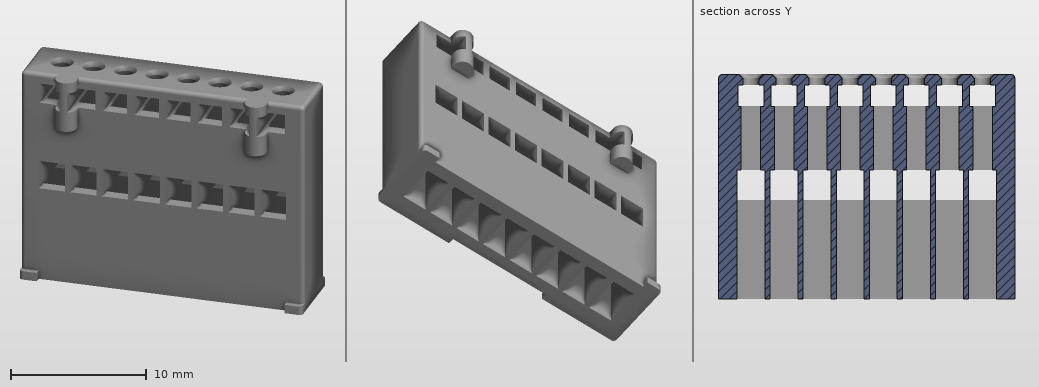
import cadquery as cq

body_length = 21.82
body_depth = 4.89
body_height = 16.56
edge_radius = 0.3

contact_count = 8
contact_span = 17.05
contact_pitch = contact_span / (contact_count - 1)
first_contact_x = -contact_span / 2

pin_hole_diameter = 1.18
lead_in_diameter = 1.75
lead_in_depth = 0.3

upper_window_width = 1.85
upper_window_height = 1.55
upper_window_bottom = 14.2
lower_window_width = 2.0
lower_window_height = 2.2
lower_window_bottom = 7.3

chamber_depth = 2.97
narrow_chamber_width = 1.4

rib_spacing = 14.62
rib_width = 1.61
rib_reach = 1.15
rib_height = 3.9

tab_height = 0.68
tab_reach = 0.48
front_tab_length = 1.35
back_tab_length = 6.63

latch_length = 4.8
latch_reach = 0.87
latch_height = 0.94
latch_bottom = 4.93

front_y = -body_depth / 2
back_y = body_depth / 2


def make_body():
    """Block with rounded upright corners and rounded top edges."""
    block = cq.Workplane("XY").box(body_length, body_depth, body_height, centered=(True, True, False))
    return block.edges("|Z or >Z").fillet(edge_radius)


def make_rib(center_x):
    """Upright rib, flush with the top and rounded at its free edge."""
    nose_radius = rib_width / 2
    nose_center_y = front_y - rib_reach + nose_radius
    root_y = front_y + edge_radius
    return (
        cq.Workplane("XY", origin=(center_x, 0, body_height - rib_height))
        .moveTo(-nose_radius, root_y)
        .lineTo(-nose_radius, nose_center_y)
        .threePointArc((0, front_y - rib_reach), (nose_radius, nose_center_y))
        .lineTo(nose_radius, root_y)
        .close()
        .extrude(rib_height)
    )


def make_foot_tabs():
    """Foot plate with rounded corners, cleared between the front tabs and between the back tabs."""
    plate_depth = body_depth + 2 * tab_reach
    plate = cq.Workplane("XY").box(body_length, plate_depth, tab_height, centered=(True, True, False))
    plate = plate.edges("|Z").fillet(edge_radius)
    for tab_length, gap_y in (
        (front_tab_length, front_y - tab_reach / 2),
        (back_tab_length, back_y + tab_reach / 2),
    ):
        gap = cq.Workplane("XY", origin=(0, gap_y, 0)).box(
            body_length - 2 * tab_length, tab_reach, tab_height, centered=(True, True, False)
        )
        plate = plate.cut(gap)
    return plate


def make_latch():
    """Wedge with a flat underside and a sloping top."""
    return (
        cq.Workplane("YZ")
        .moveTo(back_y, latch_bottom)
        .lineTo(back_y + latch_reach, latch_bottom)
        .lineTo(back_y, latch_bottom + latch_height)
        .close()
        .extrude(latch_length / 2, both=True)
    )


def make_window(center_x, width, height, bottom):
    """Cutter for one rectangular window, long enough to pass through the ribs as well."""
    cut_depth = body_depth + 2 * rib_reach
    return cq.Workplane("XY", origin=(center_x, 0, bottom)).box(
        width, cut_depth, height, centered=(True, True, False)
    )


def make_chamber(center_x):
    """Cutter for one contact chamber, open at the bottom and running up to the upper window."""
    narrow = cq.Workplane("XY", origin=(center_x, 0, 0)).box(
        narrow_chamber_width, chamber_depth, upper_window_bottom, centered=(True, True, False)
    )
    wide = cq.Workplane("XY", origin=(center_x, 0, 0)).box(
        lower_window_width, chamber_depth, lower_window_bottom, centered=(True, True, False)
    )
    return narrow.union(wide)


def make_pin_hole(center_x):
    """Cutter for one full-height pin hole with its conical lead-in."""
    hole_radius = pin_hole_diameter / 2
    lead_in_radius = lead_in_diameter / 2
    return (
        cq.Workplane("XZ", origin=(center_x, 0, 0))
        .lineTo(hole_radius, 0)
        .lineTo(hole_radius, body_height - lead_in_depth)
        .lineTo(lead_in_radius, body_height)
        .lineTo(0, body_height)
        .close()
        .revolve(360, (0, 0, 0), (0, 1, 0))
    )


result = make_body().union(make_foot_tabs()).union(make_latch())

for rib_x in (-rib_spacing / 2, rib_spacing / 2):
    result = result.union(make_rib(rib_x))

for contact in range(contact_count):
    contact_x = first_contact_x + contact * contact_pitch
    result = result.cut(make_window(contact_x, upper_window_width, upper_window_height, upper_window_bottom))
    result = result.cut(make_window(contact_x, lower_window_width, lower_window_height, lower_window_bottom))
    result = result.cut(make_chamber(contact_x))
    result = result.cut(make_pin_hole(contact_x))